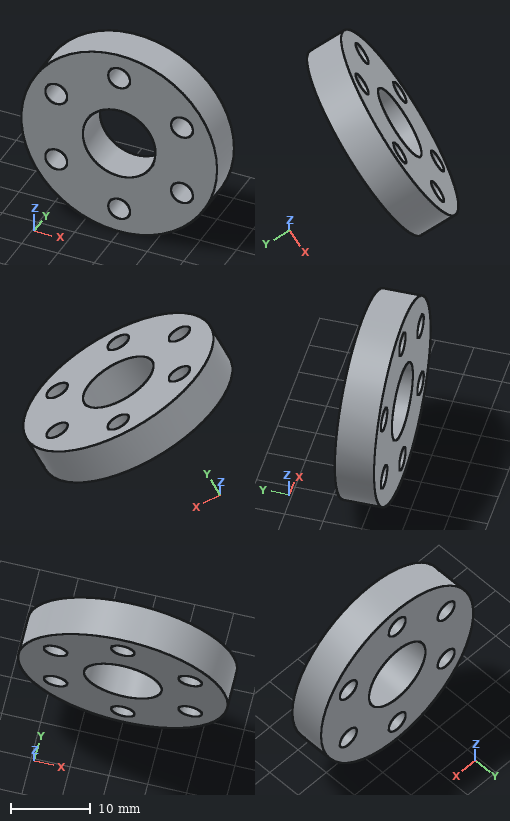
import cadquery as cq

outer_diameter = 27.0
thickness = 5.1
bore_diameter = 10.0
bolt_circle_diameter = 20.0
bolt_hole_diameter = 3.0
bolt_hole_count = 6
first_hole_angle = 90.0


def ring():
    """Flat ring with its axis along Y and one face on the XZ plane."""
    return (
        cq.Workplane("XZ")
        .circle(outer_diameter / 2)
        .circle(bore_diameter / 2)
        .extrude(thickness)
    )


def bolt_holes():
    """Cylinders that cut the evenly spaced bolt holes right through the ring."""
    return (
        cq.Workplane("XZ")
        .polarArray(bolt_circle_diameter / 2, first_hole_angle, 360, bolt_hole_count)
        .circle(bolt_hole_diameter / 2)
        .extrude(thickness)
    )


result = ring().cut(bolt_holes())